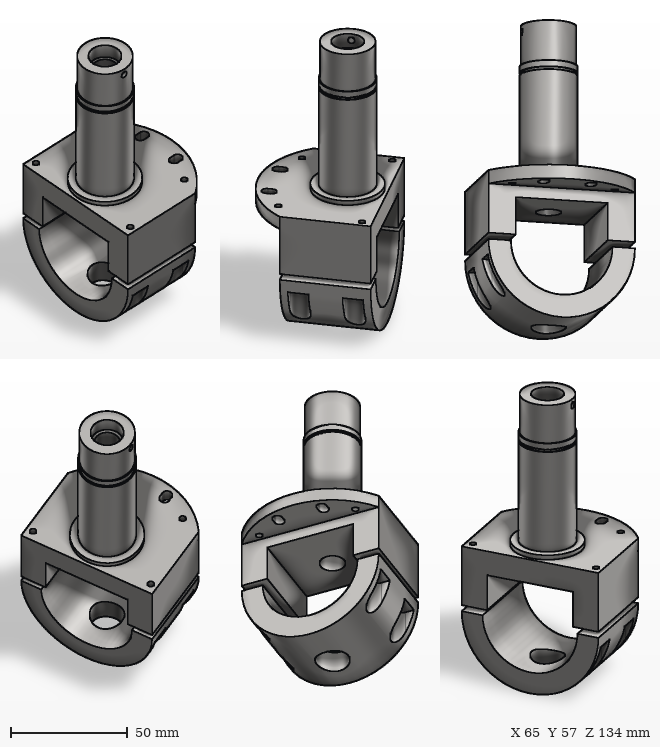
import cadquery as cq
import math

width = 65.0
height = 134.0
body_depth = 40.0

clamp_radius = width / 2
clamp_bore_radius = 22.5
drain_diameter = 15.0
pocket_diameter = 9.1
pocket_x = 27.9
pocket_spacing = 24.1
pocket_roof_drop = 5.9

clamp_gap = 2.8
block_height = 27.7
channel_width = 40.7
channel_height = 16.5
plate_thickness = 6.0
shaft_y = 17.5
plate_radius = 39.5
block_bottom = clamp_radius + clamp_gap
block_top = block_bottom + block_height

screw_diameter = 3.0
plate_hole_x = 22.8
plate_hole_y = 42.9
block_hole_x = 29.2
block_hole_y = 4.5
block_hole_depth = 8.0
drill_tip_angle = 118.0
slot_width = 4.5
slot_length = 6.7
slot_x = 10.5
slot_y = 49.7

flange_diameter = 32.0
flange_thickness = 2.1
shaft_diameter = 25.0
tip_diameter = 24.0
tip_length = 17.8
groove_diameter = 23.9
groove_width = 1.2
groove_drop = 2.8
bore_diameter = 11.1
counterbore_diameter = 14.2
counterbore_depth = 6.7
cross_hole_diameter = 3.0
cross_hole_drop = 3.1


def cylinder(diameter, bottom, top, x=0, y=shaft_y):
    """Vertical cylinder between two heights."""
    return cq.Workplane("XY", origin=(x, y, bottom)).circle(diameter / 2).extrude(top - bottom)


def make_block():
    """Channel-shaped block with a thin round-backed plate at its top."""
    block = (
        cq.Workplane("XY", origin=(0, body_depth / 2, block_bottom))
        .rect(width, body_depth)
        .extrude(block_height)
    )
    plate = (
        cq.Workplane("XY", origin=(0, 0, block_top - plate_thickness))
        .moveTo(-width / 2, 0)
        .lineTo(width / 2, 0)
        .lineTo(width / 2, body_depth)
        .threePointArc((0, shaft_y + plate_radius), (-width / 2, body_depth))
        .close()
        .extrude(plate_thickness)
    )
    channel = (
        cq.Workplane("XY", origin=(0, body_depth / 2, block_bottom))
        .rect(channel_width, body_depth)
        .extrude(channel_height)
    )
    return block.union(plate).cut(channel)


def cut_mounting_holes(block):
    """Through holes and slots in the plate, blind drilled holes in the block."""
    plate_bottom = block_top - plate_thickness
    tip_height = screw_diameter / 2 / math.tan(math.radians(drill_tip_angle / 2))
    for side in (-1, 1):
        plate_hole = cylinder(screw_diameter, plate_bottom, block_top, side * plate_hole_x, plate_hole_y)
        slot = (
            cq.Workplane("XY", origin=(side * slot_x, slot_y, plate_bottom))
            .slot2D(slot_length, slot_width, 90)
            .extrude(plate_thickness)
        )
        drilled_hole = (
            cq.Workplane("XZ")
            .lineTo(screw_diameter / 2, 0)
            .lineTo(screw_diameter / 2, -block_hole_depth)
            .lineTo(0, -block_hole_depth - tip_height)
            .close()
            .revolve(360, (0, 0, 0), (0, 1, 0))
            .translate((side * block_hole_x, block_hole_y, block_top))
        )
        block = block.cut(plate_hole).cut(slot).cut(drilled_hole)
    return block


def make_shaft():
    """Flanged shaft with a reduced tip and a ring groove below it."""
    shoulder = height - tip_length
    groove_top = shoulder - groove_drop
    groove_bottom = groove_top - groove_width
    return (
        cylinder(flange_diameter, block_top, block_top + flange_thickness)
        .union(cylinder(shaft_diameter, block_top, groove_bottom))
        .union(cylinder(groove_diameter, groove_bottom, groove_top))
        .union(cylinder(shaft_diameter, groove_top, shoulder))
        .union(cylinder(tip_diameter, shoulder, height))
    )


def make_housing():
    """Block and shaft in one piece, bored through along the shaft axis."""
    bore = cylinder(bore_diameter, block_bottom, height)
    counterbore = cylinder(counterbore_diameter, height - counterbore_depth, height)
    cross_hole = (
        cq.Workplane("YZ", origin=(0, shaft_y, height - cross_hole_drop))
        .circle(cross_hole_diameter / 2)
        .extrude(shaft_diameter)
    )
    housing = cut_mounting_holes(make_block()).union(make_shaft())
    return housing.cut(bore).cut(counterbore).cut(cross_hole)


def make_pocket(side, y, roof):
    """Round-ended vertical pocket, open through the outside of the clamp."""
    round_end = cylinder(pocket_diameter, 0, roof, side * pocket_x, y)
    opening = (
        cq.Workplane("XY", origin=(side * (pocket_x + clamp_radius) / 2, y, 0))
        .rect(clamp_radius - pocket_x, pocket_diameter)
        .extrude(roof)
    )
    return round_end.union(opening)


def make_clamp():
    """Half ring with a hole at its lowest point and four screw-head pockets."""
    clamp = (
        cq.Workplane("XZ", origin=(0, 0, clamp_radius))
        .moveTo(-clamp_radius, 0)
        .threePointArc((0, -clamp_radius), (clamp_radius, 0))
        .lineTo(clamp_bore_radius, 0)
        .threePointArc((0, -clamp_bore_radius), (-clamp_bore_radius, 0))
        .close()
        .extrude(-body_depth)
    )
    clamp = clamp.cut(cylinder(drain_diameter, 0, clamp_radius))
    pocket_roof = clamp_radius - pocket_roof_drop
    for side in (-1, 1):
        for end in (-1, 1):
            y = body_depth / 2 + end * pocket_spacing / 2
            clamp = clamp.cut(make_pocket(side, y, pocket_roof))
    return clamp


housing = make_housing()
clamp = make_clamp()
result = cq.Compound.makeCompound([housing.val(), clamp.val()])